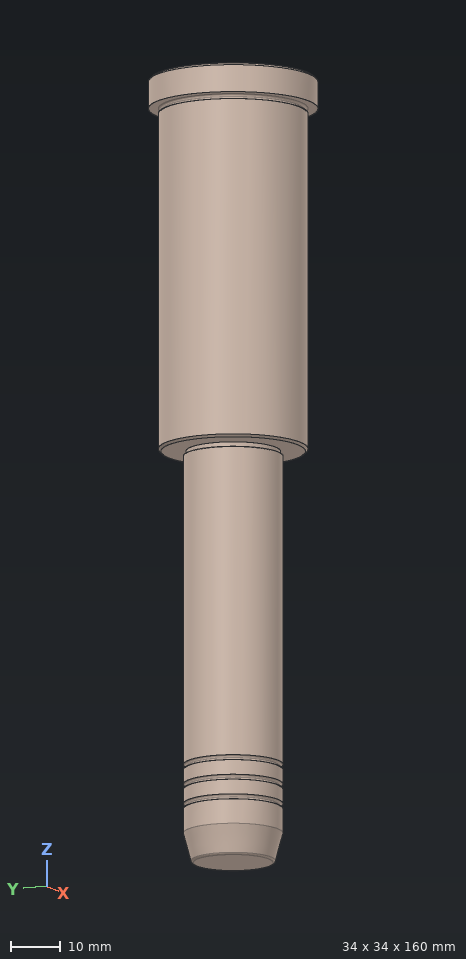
import cadquery as cq
import math

total_length = 160.0
head_thickness = 6.0
pin_length = 84.0

head_radius = 17.0
body_radius = 15.0
pin_radius = 10.0

head_chamfer = 0.5
body_chamfer = 0.5
tip_fillet = 0.5

lead_in_length = 6.0
lead_in_angle = math.radians(15.0)
tip_radius = pin_radius - lead_in_length * math.tan(lead_in_angle)

neck_length = 1.0
neck_depth = 0.5

groove_width = 1.0
groove_depth = 0.5
groove_corner_radius = 0.49
ring_groove_count = 3
ring_groove_pitch = 4.0
lowest_ring_groove = 11.5

head_base = total_length - head_thickness


def cylinder(radius, base, top):
    """Solid cylinder on the Z axis between two heights."""
    return cq.Workplane("XY").workplane(offset=base).circle(radius).extrude(top - base)


def cut_round_groove(solid, surface_radius, height):
    """Cut a round-bottomed ring groove, centred on the given height, into a cylindrical surface."""
    ring = (
        cq.Workplane("XY")
        .workplane(offset=height - groove_width / 2)
        .circle(surface_radius)
        .circle(surface_radius - groove_depth)
        .extrude(groove_width)
        .edges(cq.selectors.RadiusNthSelector(0))
        .fillet(groove_corner_radius)
    )
    return solid.cut(ring)


def make_head():
    return cylinder(head_radius, head_base, total_length).faces(">Z").edges().chamfer(head_chamfer)


def make_body():
    """Sleeve section with a chamfered lower edge and a round groove just below the head."""
    body = cylinder(body_radius, pin_length, head_base).faces("<Z").edges().chamfer(body_chamfer)
    return cut_round_groove(body, body_radius, head_base - groove_width / 2)


def make_pin():
    """Pin with a tapered, rounded tip, ring grooves and a reduced neck where it meets the body."""
    neck_radius = pin_radius - neck_depth
    neck_base = pin_length - neck_length
    pin = (
        cq.Workplane("XZ")
        .lineTo(tip_radius, 0)
        .lineTo(pin_radius, lead_in_length)
        .lineTo(pin_radius, neck_base)
        .lineTo(neck_radius, neck_base)
        .lineTo(neck_radius, pin_length)
        .lineTo(0, pin_length)
        .close()
        .revolve(360, (0, 0, 0), (0, 1, 0))
        .faces("<Z")
        .edges()
        .fillet(tip_fillet)
    )
    for index in range(ring_groove_count):
        pin = cut_round_groove(pin, pin_radius, lowest_ring_groove + index * ring_groove_pitch)
    return pin


result = make_pin().union(make_body()).union(make_head())